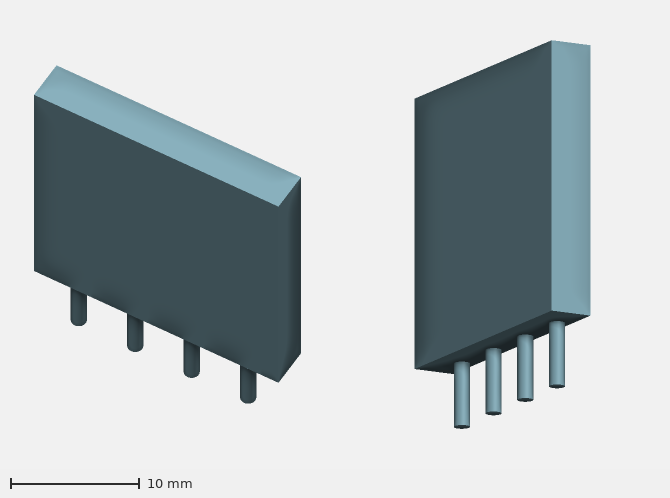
import cadquery as cq

total_height = 26.65
body_width = 22.05
body_depth = 3.45

pin_count = 4
pin_pitch = 5.1
pin_diameter = 1.25
pin_length = 5.06
pin_row_y = -0.6

body_height = total_height - pin_length


def make_body():
    """Flat rectangular body standing on the plane Z = 0."""
    return cq.Workplane("XY").box(body_width, body_depth, body_height, centered=(True, True, False))


def make_pin(x):
    """Round pin hanging from the underside of the body at the given X."""
    return cq.Workplane("XY").center(x, pin_row_y).circle(pin_diameter / 2).extrude(-pin_length)


first_pin_x = -pin_pitch * (pin_count - 1) / 2

body = make_body()
pins = [make_pin(first_pin_x + i * pin_pitch) for i in range(pin_count)]

result = cq.Compound.makeCompound([body.val(), *[pin.val() for pin in pins]])